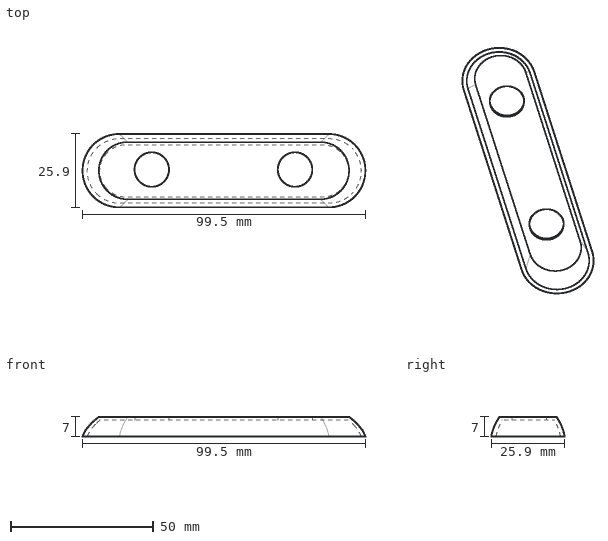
import cadquery as cq

length = 99.45
width = 25.9
height = 7.0
inset_top = 2.9
inset_middle = 1.0
wall = 1.6
roof = 1.1

hole_diameter = 12.0
hole_spacing = 50.3
hole_offset_x = -0.2
hole_offset_y = 0.4

lean_curve = 2 * (inset_top - 2 * inset_middle) / height**2
lean_slope = inset_top / height - lean_curve * height


def inset_at(z):
    """Distance the side wall has moved inwards at height z."""
    return lean_slope * z + lean_curve * z**2


def domed_slot(margin, top):
    """Round-ended body from z = 0 to top, made smaller all round by margin.

    The end centres move inwards with the walls, so the ends lean twice as far.
    """
    body = cq.Workplane("XY")
    level_step = top / 2
    for level in range(3):
        z = level * level_step
        inset = inset_at(z)
        slot_length = length - 2 * margin - 4 * inset
        slot_width = width - 2 * margin - 2 * inset
        if level > 0:
            body = body.workplane(offset=level_step)
        body = body.slot2D(slot_length, slot_width)
    return body.loft(ruled=False, combine=True)


shell = domed_slot(0, height).cut(domed_slot(wall, height - roof))

holes = (
    cq.Workplane("XY")
    .pushPoints([(hole_offset_x + side * hole_spacing / 2, hole_offset_y) for side in (-1, 1)])
    .circle(hole_diameter / 2)
    .extrude(height)
)

result = shell.cut(holes)